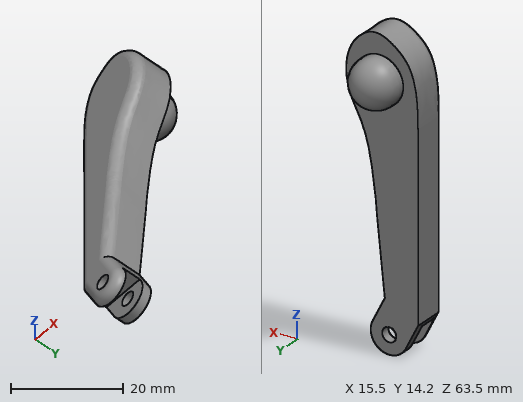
import cadquery as cq
import math

length = 63.5
width = 15.5
thickness = 8.0
edge_radius = 2.0

pivot_radius = 4.0
pivot_x = 6.2
pivot_z = pivot_radius
hole_diameter = 3.0
arm_lean = math.radians(26.5)
slot_front = edge_radius
slot_width = 4.0
slot_top = 6.5

left_edge_top = 46.75
inner_corner_z = 11.05
neck_length = 1.6
neck_slope = 0.11
grip_points = [
    (0.6, 54.7),
    (1.9, 58.55),
    (5.2, 62.0),
    (9.3, length),
    (13.2, 61.3),
    (width, 55.05),
    (14.4, 49.35),
    (12.5, 45.5),
    (10.4, 39.0),
    (9.2, 31.0),
]
grip_start_tangent = (0, 1)
grip_end_tangent = (-neck_slope, -1)

knob_x = 8.25
knob_z = 54.2
knob_radius = 5.1
total_depth = 14.2
knob_center_y = total_depth - knob_radius


def pivot_rim(angle):
    """Point on the rounded pivot end, with the angle measured from +X toward +Z."""
    return (pivot_x + pivot_radius * math.cos(angle), pivot_z + pivot_radius * math.sin(angle))


def make_body():
    right_tangent = pivot_rim(arm_lean)
    left_tangent = pivot_rim(arm_lean + math.pi)
    bottom = pivot_rim(arm_lean - math.pi / 2)
    left_bend_z = left_tangent[1] + left_tangent[0] / math.tan(arm_lean)
    inner_corner_x = right_tangent[0] - (inner_corner_z - right_tangent[1]) * math.tan(arm_lean)
    grip_end = (inner_corner_x + neck_slope * neck_length, inner_corner_z + neck_length)

    outline = (
        cq.Workplane("XZ")
        .moveTo(0, left_bend_z)
        .lineTo(0, left_edge_top)
        .spline(
            grip_points + [grip_end],
            tangents=[grip_start_tangent, grip_end_tangent],
            includeCurrent=True,
        )
        .lineTo(inner_corner_x, inner_corner_z)
        .lineTo(*right_tangent)
        .threePointArc(bottom, left_tangent)
        .close()
    )
    return outline.extrude(-thickness).faces("<Y").edges().fillet(edge_radius)


def make_slot():
    return cq.Workplane("XY").box(width, slot_width, slot_top, centered=False).translate((0, slot_front, 0))


def make_pivot_hole():
    return cq.Workplane("XZ").center(pivot_x, pivot_z).circle(hole_diameter / 2).extrude(-thickness)


def make_knob():
    stem_length = knob_center_y - thickness
    stem = (
        cq.Workplane("XZ", origin=(knob_x, thickness, knob_z))
        .circle(knob_radius)
        .extrude(-stem_length)
    )
    ball = cq.Workplane("XY").sphere(knob_radius).translate((knob_x, knob_center_y, knob_z))
    front_half = cq.Workplane("XY").box(width, thickness, length, centered=False)
    return stem.union(ball.cut(front_half))


result = make_body().cut(make_slot()).cut(make_pivot_hole()).union(make_knob())